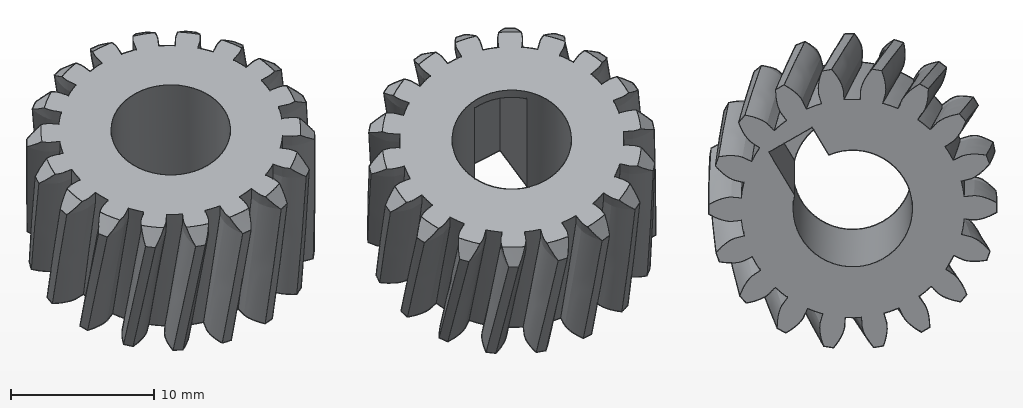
import cadquery as cq
import math

tooth_count = 18
outer_radius = 10.08
height = 11.9
bore_diameter = 8.35
chamfer_size = 1.0
helix_angle = math.radians(7.5)
normal_pressure_angle = math.radians(20.0)
dedendum_factor = 1.25
flank_points = 5

pocket_roof_thickness = 0.9
pocket_reach = 6.45
pocket_upper_side = 0.48
pocket_lower_side = -3.02

module = 2 * outer_radius / (tooth_count / math.cos(helix_angle) + 2)
pitch_radius = outer_radius - module
root_radius = pitch_radius - dedendum_factor * module
pressure_angle = math.atan(math.tan(normal_pressure_angle) / math.cos(helix_angle))
base_radius = pitch_radius * math.cos(pressure_angle)
helical_height = height - chamfer_size
twist_degrees = math.degrees(helical_height * math.tan(helix_angle) / pitch_radius)
tooth_pitch = 2 * math.pi / tooth_count


def involute_angle(radius):
    """Angle the involute has turned through where it reaches the given radius."""
    local_pressure_angle = math.acos(base_radius / radius)
    return math.tan(local_pressure_angle) - local_pressure_angle


def half_tooth_angle(radius):
    """Half of the angle one tooth covers; the flank is radial below the base circle."""
    base_half_angle = tooth_pitch / 4 + involute_angle(pitch_radius)
    return base_half_angle - involute_angle(max(radius, base_radius))


def polar(radius, angle):
    """X and Y of a point given by its radius and direction."""
    return (radius * math.cos(angle), radius * math.sin(angle))


def gear_outline():
    """Closed transverse outline of the whole gear."""
    flank_step = (outer_radius - base_radius) / (flank_points - 1)
    flank_radii = [base_radius + i * flank_step for i in range(flank_points)]
    root_half = half_tooth_angle(root_radius)

    outline = cq.Workplane("XY").moveTo(*polar(root_radius, -root_half))
    for tooth in range(tooth_count):
        centre = tooth * tooth_pitch
        rising = [polar(r, centre - half_tooth_angle(r)) for r in flank_radii]
        falling = [polar(r, centre + half_tooth_angle(r)) for r in reversed(flank_radii)]
        outline = outline.lineTo(*rising[0]).spline(rising[1:], includeCurrent=True)
        outline = outline.threePointArc(polar(outer_radius, centre), falling[0])
        outline = outline.spline(falling[1:], includeCurrent=True)
        outline = outline.lineTo(*polar(root_radius, centre + root_half))
        gap_middle = polar(root_radius, centre + tooth_pitch / 2)
        next_root = polar(root_radius, centre + tooth_pitch - root_half)
        outline = outline.threePointArc(gap_middle, next_root)
    return outline.close()


def chamfered_blank():
    """Bored cylinder with its top outer edge chamfered."""
    blank = cq.Workplane("XY").circle(outer_radius).extrude(height)
    blank = blank.faces(">Z").edges().chamfer(chamfer_size)
    return blank.faces(">Z").workplane().hole(bore_diameter)


def bore_pocket():
    """Rectangular pocket reaching sideways from the bore."""
    pocket_width = pocket_upper_side - pocket_lower_side
    pocket_depth = height - pocket_roof_thickness
    return (
        cq.Workplane("XY")
        .moveTo(0, pocket_lower_side)
        .rect(pocket_reach, pocket_width, centered=False)
        .extrude(pocket_depth)
    )


helical_teeth = gear_outline().twistExtrude(helical_height, twist_degrees)
straight_teeth = (
    gear_outline()
    .extrude(chamfer_size)
    .rotate((0, 0, 0), (0, 0, 1), twist_degrees)
    .translate((0, 0, helical_height))
)
gear = helical_teeth.union(straight_teeth).intersect(chamfered_blank())
result = gear.cut(bore_pocket())